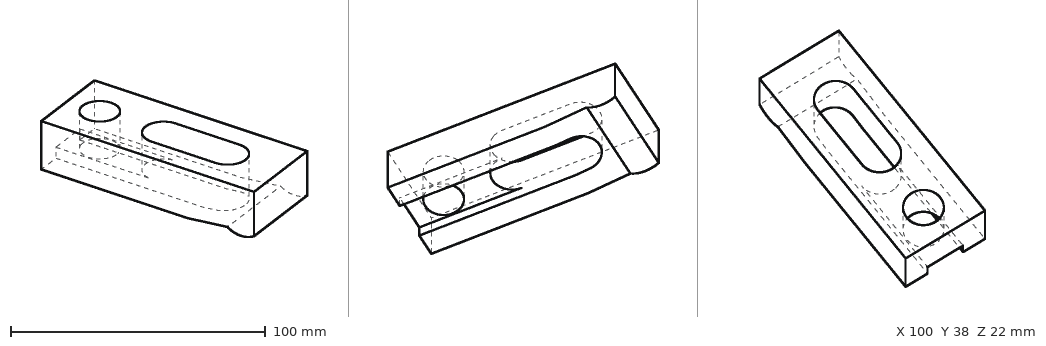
import cadquery as cq

length = 100.0
width = 38.0
height = 22.0

relief_start = 69.0
relief_end = 87.5
relief_depth = 2.0
nose_center = 94.0
nose_radius = 10.8

hole_center = 15.0
hole_diameter = 16.0
slot_width = 17.0
slot_first_center = 45.0
slot_last_center = 75.0

groove_depth = 5.0


def nose_height(x):
    """Height of the nose arc above the base plane at position x."""
    return nose_radius - (nose_radius**2 - (x - nose_center) ** 2) ** 0.5


def make_body():
    return (
        cq.Workplane("XZ")
        .moveTo(0, 0)
        .lineTo(relief_start, 0)
        .lineTo(relief_end, relief_depth)
        .threePointArc((nose_center, 0), (length, nose_height(length)))
        .lineTo(length, height)
        .lineTo(0, height)
        .close()
        .extrude(width / 2, both=True)
    )


def make_hole():
    return cq.Workplane("XY").center(hole_center, 0).circle(hole_diameter / 2).extrude(height)


def make_slot():
    slot_center = (slot_first_center + slot_last_center) / 2
    slot_length = slot_last_center - slot_first_center + slot_width
    return cq.Workplane("XY").center(slot_center, 0).slot2D(slot_length, slot_width).extrude(height)


def make_groove():
    """Open at the rear face and running forward into the slot."""
    return cq.Workplane("XY").box(
        slot_first_center, slot_width, groove_depth, centered=(False, True, False)
    )


result = make_body().cut(make_hole()).cut(make_slot()).cut(make_groove())